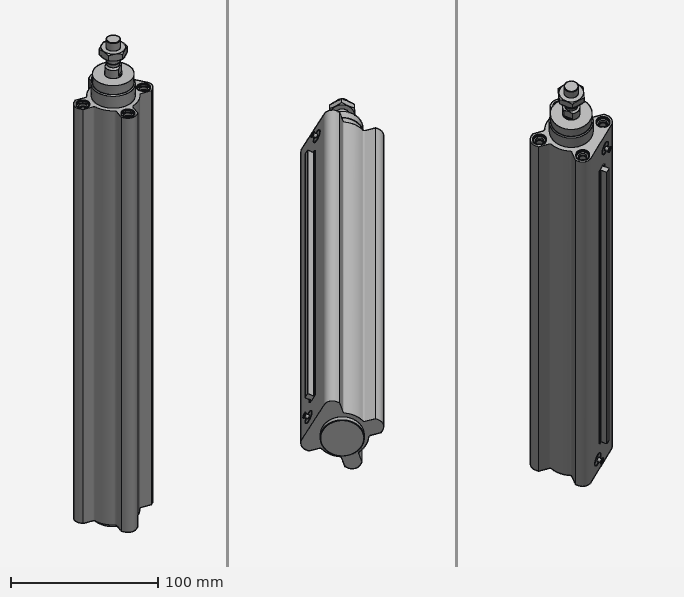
import cadquery as cq
import math


TOTAL_HEIGHT = 395.0
FOOT_HEIGHT = 4.0
SHOULDER_Z = 373.0
BODY_TOP_Z = 348.0
COLLAR_HEIGHT = 18.0
COLLAR_TOP_Z = BODY_TOP_Z + COLLAR_HEIGHT

BODY_WIDTH = 45.0
HALF_WIDTH = BODY_WIDTH / 2
SCREW_OFFSET = 16.2
LOBE_RADIUS = HALF_WIDTH - SCREW_OFFSET
LOBE_INNER_EDGE = 14.0
BARREL_RADIUS = 18.0
FLANK_FILLET = 1.5

COLLAR_DIAMETER = 30.0
COLLAR_STEP_HEIGHT = 10.5
COLLAR_STEP_CHAMFER = 0.8
COLLAR_NECK_DIAMETER = 28.0
COLLAR_TIP_DIAMETER = 28.5
FOOT_CHAMFER = 0.5

RECESS_STEPS = [(9.5, 0.8), (8.3, 2.0), (6.0, 4.0), (4.7, 8.0)]
RECESS_TIP_DEPTH = 1.0

BACK_DEPTH = 27.5
RAIL_WIDTH = 4.0
RAIL_END_GAP = 28.0
RAIL_CHAMFER = 0.5
RAIL_FOOT_WIDTH = 8.0
RAIL_FOOT_HEIGHT = 0.8

KNOB_SPACING = 12.0
KNOB_END_GAP = 13.5
KNOB_SEAT_DIAMETER = 9.5
KNOB_SEAT_HEIGHT = 0.5
KNOB_STEM_DIAMETER = 3.0
KNOB_HEAD_DIAMETER = 4.5
KNOB_HEAD_THICKNESS = 0.5
KNOB_TOP_Y = 26.0

ROD_DIAMETER = 12.0
ROD_CHAMFER = 1.0
FLATS_WIDTH = 10.0
FLATS_BOTTOM_Z = 367.5
THREAD_DIAMETER = 10.0
THREAD_CHAMFER = 0.5
UNDERCUT_DIAMETER = 8.5
UNDERCUT_HEIGHT = 4.0

NUT_ACROSS_FLATS = 17.0
NUT_HEIGHT = 6.0
NUT_BOTTOM_Z = 382.5
NUT_CHAMFER_ANGLE = 30
NUT_FACE_DIAMETER = 16.5


def cylinder(diameter, bottom_z, top_z):
    return cq.Workplane("XY").workplane(offset=bottom_z).circle(diameter / 2).extrude(top_z - bottom_z)


def quarter_turned(x, y, turns):
    """The point turned about the axis by a number of quarter turns, 1 or -1 or 0."""
    return {0: (x, y), 1: (-y, x), -1: (y, -x)}[turns]


def profile_body():
    """Round barrel between four lobed corners, bulging out on three sides, with a flat back."""
    flank_shift = HALF_WIDTH - LOBE_INNER_EDGE
    root_x = (math.sqrt(2 * BARREL_RADIUS**2 - flank_shift**2) - flank_shift) / 2
    root_y = -(root_x + flank_shift)
    lobe_middle = SCREW_OFFSET + LOBE_RADIUS * math.sqrt(0.5)
    barrel_sides = (1, 0, -1)

    outline = (
        cq.Workplane("XY").workplane(offset=FOOT_HEIGHT)
        .moveTo(-SCREW_OFFSET, HALF_WIDTH)
        .lineTo(SCREW_OFFSET, HALF_WIDTH)
    )
    for turns in barrel_sides:
        outline = (
            outline
            .threePointArc(
                quarter_turned(lobe_middle, -lobe_middle, turns),
                quarter_turned(SCREW_OFFSET, -HALF_WIDTH, turns),
            )
            .lineTo(*quarter_turned(LOBE_INNER_EDGE, -HALF_WIDTH, turns))
            .lineTo(*quarter_turned(root_x, root_y, turns))
            .threePointArc(quarter_turned(0, -BARREL_RADIUS, turns), quarter_turned(-root_x, root_y, turns))
            .lineTo(*quarter_turned(-LOBE_INNER_EDGE, -HALF_WIDTH, turns))
            .lineTo(*quarter_turned(-SCREW_OFFSET, -HALF_WIDTH, turns))
        )
    outline = outline.threePointArc((-lobe_middle, lobe_middle), (-SCREW_OFFSET, HALF_WIDTH)).close()
    body = outline.extrude(BODY_TOP_Z - FOOT_HEIGHT)

    middle_z = (FOOT_HEIGHT + BODY_TOP_Z) / 2
    for turns in barrel_sides:
        for x in (-root_x, root_x):
            root = (*quarter_turned(x, root_y, turns), middle_z)
            body = body.edges(cq.NearestToPointSelector(root)).fillet(FLANK_FILLET)
    return body


def rod_collar():
    """Collar around the rod: a chamfered base and a tip that widens slightly upwards."""
    step_z = BODY_TOP_Z + COLLAR_STEP_HEIGHT
    base = cylinder(COLLAR_DIAMETER, BODY_TOP_Z, step_z).faces(">Z").chamfer(COLLAR_STEP_CHAMFER)
    tip = (
        cq.Workplane("XY").workplane(offset=step_z)
        .circle(COLLAR_NECK_DIAMETER / 2)
        .workplane(offset=COLLAR_TOP_Z - step_z)
        .circle(COLLAR_TIP_DIAMETER / 2)
        .loft()
    )
    return base.union(tip)


def foot_collar():
    return cylinder(COLLAR_DIAMETER, 0, FOOT_HEIGHT).faces("<Z").chamfer(FOOT_CHAMFER)


def screw_recess(x, y):
    """Stepped blind hole with a conical tip."""
    last_diameter, last_depth = RECESS_STEPS[-1]
    tip_base = cq.Vector(0, 0, BODY_TOP_Z - last_depth - RECESS_TIP_DEPTH)
    recess = cq.Workplane(cq.Solid.makeCone(0, last_diameter / 2, RECESS_TIP_DEPTH, tip_base))
    for diameter, depth in RECESS_STEPS:
        recess = recess.union(cylinder(diameter, BODY_TOP_Z - depth, BODY_TOP_Z))
    return recess.translate((x, y, 0))


def rail():
    """Long narrow rail on a low foot, centred between the ends of the back."""
    bottom_z = FOOT_HEIGHT + RAIL_END_GAP
    length = BODY_TOP_Z - RAIL_END_GAP - bottom_z

    def bar(width, height):
        block = cq.Workplane("XY").box(width, height, length, centered=(True, False, False))
        return block.translate((0, HALF_WIDTH, bottom_z))

    foot = bar(RAIL_FOOT_WIDTH, RAIL_FOOT_HEIGHT)
    web = bar(RAIL_WIDTH, BACK_DEPTH - HALF_WIDTH).faces(">Y").edges("|Z").chamfer(RAIL_CHAMFER)
    return foot.union(web)


def knob(x, z):
    """Adjusting screw on the back: a low seat, a stem and a thin head, with its axis along Y."""
    def disc(diameter, start_y, end_y):
        start = cq.Vector(x, start_y, z)
        return cq.Workplane(cq.Solid.makeCylinder(diameter / 2, end_y - start_y, start, cq.Vector(0, 1, 0)))

    seat = disc(KNOB_SEAT_DIAMETER, HALF_WIDTH, HALF_WIDTH + KNOB_SEAT_HEIGHT)
    stem = disc(KNOB_STEM_DIAMETER, HALF_WIDTH, KNOB_TOP_Y)
    head = disc(KNOB_HEAD_DIAMETER, KNOB_TOP_Y - KNOB_HEAD_THICKNESS, KNOB_TOP_Y)
    return seat.union(stem).union(head)


def make_housing():
    housing = profile_body().union(rod_collar()).union(foot_collar()).union(rail())
    housing = housing.union(knob(-KNOB_SPACING / 2, BODY_TOP_Z - KNOB_END_GAP))
    housing = housing.union(knob(KNOB_SPACING / 2, FOOT_HEIGHT + KNOB_END_GAP))
    for x in (-SCREW_OFFSET, SCREW_OFFSET):
        for y in (-SCREW_OFFSET, SCREW_OFFSET):
            housing = housing.cut(screw_recess(x, y))
    return housing.cut(cylinder(ROD_DIAMETER, BODY_TOP_Z, COLLAR_TOP_Z))


def make_rod():
    """Shank seated in the collar, with two wrench flats, an undercut and a threaded end."""
    shank_top_z = SHOULDER_Z + ROD_CHAMFER
    shoulder_width = (ROD_DIAMETER - UNDERCUT_DIAMETER) / 2
    shank = cylinder(ROD_DIAMETER, BODY_TOP_Z, shank_top_z).faces(">Z").chamfer(ROD_CHAMFER, shoulder_width)
    cutter = cq.Workplane("XY").box(
        ROD_DIAMETER, ROD_DIAMETER, shank_top_z - FLATS_BOTTOM_Z, centered=(True, True, False)
    )
    cutter_x = (FLATS_WIDTH + ROD_DIAMETER) / 2
    for x in (-cutter_x, cutter_x):
        shank = shank.cut(cutter.translate((x, 0, FLATS_BOTTOM_Z)))
    undercut_top = SHOULDER_Z + UNDERCUT_HEIGHT
    undercut = cylinder(UNDERCUT_DIAMETER, SHOULDER_Z, undercut_top)
    thread = cylinder(THREAD_DIAMETER, undercut_top, TOTAL_HEIGHT).faces(">Z").chamfer(THREAD_CHAMFER)
    return shank.union(undercut).union(thread)


def make_nut():
    """Hexagon nut with two corners on the Y axis and chamfers on both faces."""
    across_corners = NUT_ACROSS_FLATS / math.cos(math.radians(30))
    drop = (across_corners - NUT_FACE_DIAMETER) / 2 * math.tan(math.radians(NUT_CHAMFER_ANGLE))
    hexagon = (
        cq.Workplane("XY").workplane(offset=NUT_BOTTOM_Z)
        .polygon(6, across_corners)
        .extrude(NUT_HEIGHT)
        .rotate((0, 0, 0), (0, 0, 1), 90)
    )
    top_z = NUT_BOTTOM_Z + NUT_HEIGHT
    envelope = (
        cq.Workplane("XZ")
        .polyline([
            (0, NUT_BOTTOM_Z),
            (NUT_FACE_DIAMETER / 2, NUT_BOTTOM_Z),
            (across_corners / 2, NUT_BOTTOM_Z + drop),
            (across_corners / 2, top_z - drop),
            (NUT_FACE_DIAMETER / 2, top_z),
            (0, top_z),
        ])
        .close()
        .revolve(360, (0, 0, 0), (0, 1, 0))
    )
    return hexagon.intersect(envelope).cut(cylinder(THREAD_DIAMETER, NUT_BOTTOM_Z, top_z))


housing = make_housing()
piston_rod = make_rod()
lock_nut = make_nut()

result = cq.Compound.makeCompound([housing.val(), piston_rod.val(), lock_nut.val()])